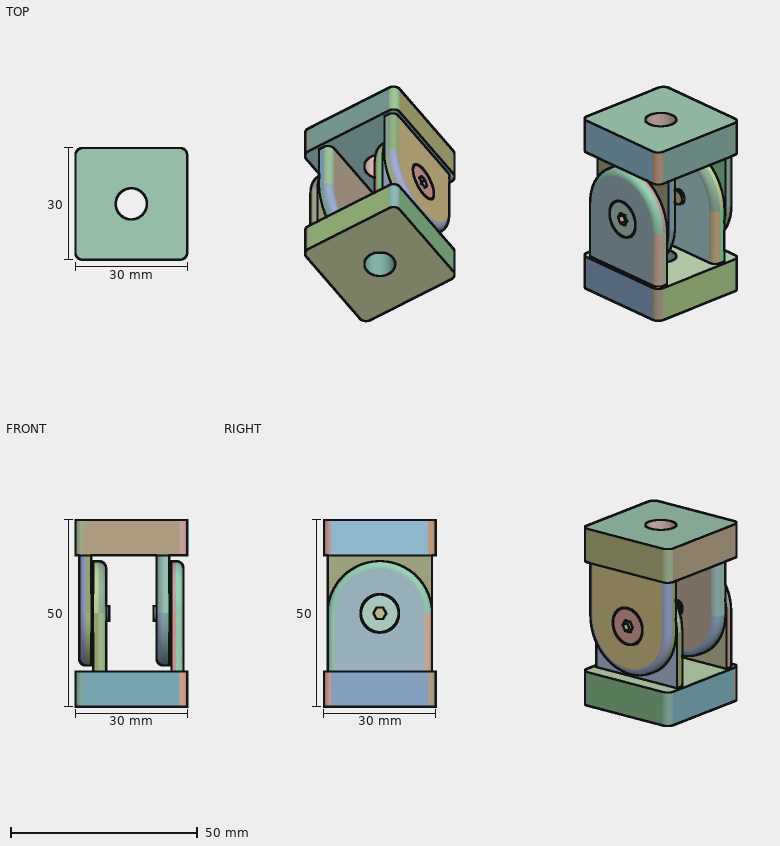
import cadquery as cq
import math

overall_height = 50.0
block_side = 30.0
block_height = 9.5
block_corner_radius = 2.0
block_bore_diameter = 8.3

lug_radius = 14.0
lug_edge_fillet = 2.0
lug_outer_face = 14.0
outer_lug_thickness = 3.3
inner_lug_thickness = 3.5
lug_gap = 0.5
outer_lug_inside = lug_outer_face - outer_lug_thickness
inner_lug_inside = outer_lug_inside - lug_gap - inner_lug_thickness

hub_diameter = 7.2
flatted_disc_diameter = 11.0
disc_flat_distance = 1.25

screw_hole_diameter = 4.15
head_recess_diameter = 10.4
screw_shank_diameter = 4.0
screw_head_diameter = 10.0
screw_head_height = 2.0
screw_tip_projection = 0.8
socket_across_flats = 3.0
socket_across_corners = socket_across_flats / math.cos(math.radians(30))
socket_depth = 1.9

block_inner_z = overall_height / 2 - block_height


def x_cylinder(diameter, x_start, length):
    """Cylinder on the pivot axis, running toward +X from x_start."""
    return cq.Workplane("YZ", origin=(x_start, 0, 0)).circle(diameter / 2).extrude(length)


def make_block():
    """Square end block with rounded corners and a central bore."""
    return (
        cq.Workplane("XY", origin=(0, 0, block_inner_z))
        .rect(block_side, block_side)
        .extrude(block_height)
        .edges("|Z")
        .fillet(block_corner_radius)
        .faces(">Z")
        .workplane()
        .hole(block_bore_diameter)
    )


def make_lug(x_start, thickness):
    """Round-ended lug hanging from the block, with its -X rim rounded."""
    lug = (
        cq.Workplane("YZ", origin=(x_start, 0, 0))
        .moveTo(-lug_radius, block_inner_z)
        .lineTo(-lug_radius, 0)
        .threePointArc((0, -lug_radius), (lug_radius, 0))
        .lineTo(lug_radius, block_inner_z)
        .close()
        .extrude(thickness)
    )
    rim_edges = lug.faces("<X").edges("not >Z")
    return rim_edges.fillet(lug_edge_fillet)


def make_spacer():
    """Hub and flatted disc filling the gap beside the outer lug."""
    hub = x_cylinder(hub_diameter, -outer_lug_inside, lug_gap)
    disc = x_cylinder(flatted_disc_diameter, -outer_lug_inside, lug_gap)
    kept_side = (
        cq.Workplane("XY", origin=(0, disc_flat_distance, 0))
        .box(block_side, block_side, block_side, centered=(True, False, True))
    )
    return hub.union(disc.intersect(kept_side))


def make_bracket():
    """Upper bracket: block, outer lug on the -X side, inner lug on the +X side."""
    bracket = (
        make_block()
        .union(make_lug(-lug_outer_face, outer_lug_thickness))
        .union(make_lug(inner_lug_inside, inner_lug_thickness))
        .union(make_spacer())
    )
    screw_hole = x_cylinder(screw_hole_diameter, -block_side / 2, block_side)
    head_recess = x_cylinder(head_recess_diameter, -lug_outer_face, screw_head_height)
    return bracket.cut(screw_hole).cut(head_recess)


def make_screw():
    """Socket-head screw on the -X side, its head flush with the outer lug."""
    head = x_cylinder(screw_head_diameter, -lug_outer_face, screw_head_height)
    shank_length = lug_outer_face - inner_lug_inside + screw_tip_projection
    shank = x_cylinder(screw_shank_diameter, -lug_outer_face, shank_length)
    socket = (
        cq.Workplane("YZ", origin=(-lug_outer_face, 0, 0))
        .polygon(6, socket_across_corners)
        .extrude(socket_depth)
    )
    return head.union(shank).cut(socket)


bracket = make_bracket()
screw = make_screw()
bodies = []
for turn in (0, 180):
    for body in (bracket, screw):
        bodies.append(body.rotate((0, 0, 0), (0, 1, 0), turn).val())

result = cq.Compound.makeCompound(bodies)